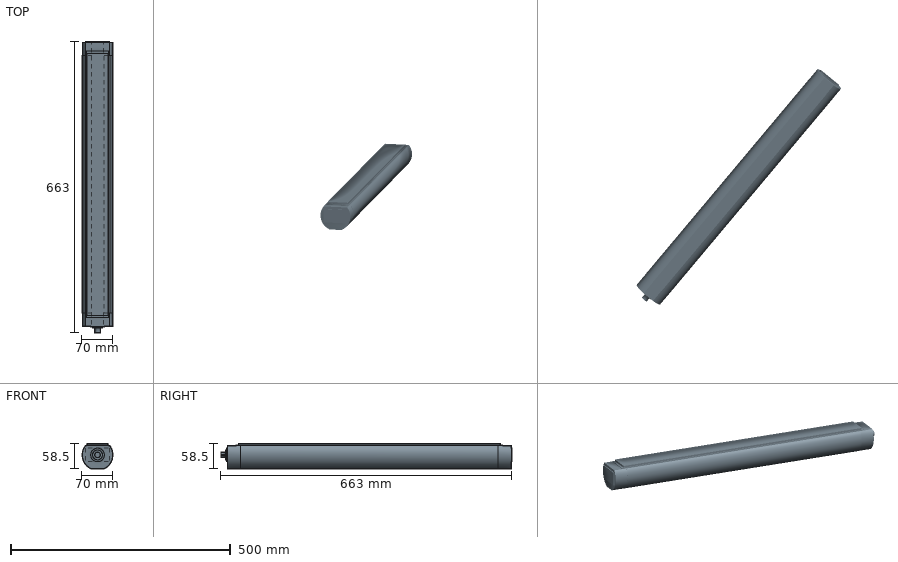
import cadquery as cq
import math

tube_radius = 35.0
housing_length = 646.2
bottom_z = -32.0
top_flat_z = 21.2

cap_length = 30.5
cap_step = 0.2
cap_radius = tube_radius - cap_step
tube_length = housing_length - 2 * cap_length

base_plate_width = 51.0
base_plate_length = 606.5
base_plate_top_z = 22.5
cover_width = 47.0
cover_length = 596.0
cover_top_z = 26.5

flange_diameter = 31.0
flange_length = 2.0
collar_diameter = 22.5
collar_length = 2.2
plug_diameter = 12.5
rib_thickness = 1.5
rib_height = 0.75

pad_width = 55.0
pad_height = 31.0
pad_thickness = 2.0

total_length = 662.95
plug_length = total_length - pad_thickness - housing_length - flange_length - collar_length

front_y = -housing_length / 2


def flattened_cylinder(start_y, length, radius):
    """Cylinder along +Y from start_y, cut flat at the top and bottom."""
    top_half_width = math.sqrt(radius**2 - top_flat_z**2)
    bottom_half_width = math.sqrt(radius**2 - bottom_z**2)
    return (
        cq.Workplane("XZ", origin=(0, start_y, 0))
        .moveTo(-bottom_half_width, bottom_z)
        .lineTo(bottom_half_width, bottom_z)
        .threePointArc((radius, 0), (top_half_width, top_flat_z))
        .lineTo(-top_half_width, top_flat_z)
        .threePointArc((-radius, 0), (-bottom_half_width, bottom_z))
        .close()
        .extrude(-length)
    )


def housing():
    """Full-length core at the cap size, with the tube section around its middle."""
    core = flattened_cylinder(front_y, housing_length, cap_radius)
    tube = flattened_cylinder(front_y + cap_length, tube_length, tube_radius)
    return core.union(tube)


def top_plate(width, length, top_z):
    """Rectangular plate standing on the top flat, centred on the housing."""
    return (
        cq.Workplane("XY", origin=(0, 0, top_flat_z))
        .rect(width, length)
        .extrude(top_z - top_flat_z)
    )


def front_disc(start_y, diameter, length):
    """Disc on the housing axis, growing from start_y towards -Y."""
    return cq.Workplane("XZ", origin=(0, start_y, 0)).circle(diameter / 2).extrude(length)


def connector():
    """Round connector with a rib along each side of its plug."""
    collar_y = front_y - flange_length
    plug_y = collar_y - collar_length
    ribs = (
        cq.Workplane("XZ", origin=(0, plug_y, 0))
        .rect(plug_diameter + 2 * rib_height, rib_thickness)
        .extrude(plug_length)
    )
    return (
        front_disc(front_y, flange_diameter, flange_length)
        .union(front_disc(collar_y, collar_diameter, collar_length))
        .union(front_disc(plug_y, plug_diameter, plug_length))
        .union(ribs)
    )


def end_pad():
    """Thin rectangular pad centred on the housing axis at the +Y end."""
    return (
        cq.Workplane("XZ", origin=(0, front_y + housing_length, 0))
        .rect(pad_width, pad_height)
        .extrude(-pad_thickness)
    )


result = (
    housing()
    .union(top_plate(base_plate_width, base_plate_length, base_plate_top_z))
    .union(top_plate(cover_width, cover_length, cover_top_z))
    .union(connector())
    .union(end_pad())
)